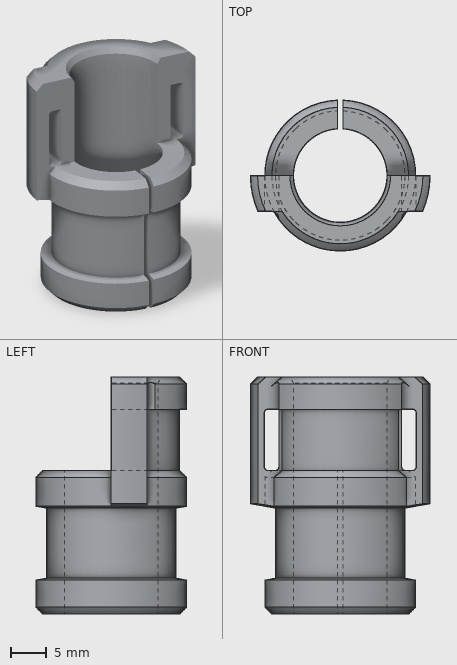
import cadquery as cq
import math

total_height = 33.0
bore_radius = 6.5
collar_radius = 10.5
lug_radius = 12.5
edge_chamfer = 1.0
bore_chamfer_width = 0.5
bore_chamfer_height = 0.87

groove_radius = 9.0
groove_bottom = 5.0
groove_top = 14.75
groove_wall_angle = 10.0

flange_top = 20.0
neck_radius = collar_radius - edge_chamfer
collar_bottom = 28.5

lug_depth = 5.0
window_inner_x = 8.55
window_outer_x = 10.55
window_corner_radius = 0.5
relief_radius = 1.0

slit_width = 0.75


def groove_wall_rise(radius):
    """Height gained by a sloped groove wall between the groove floor and a radius."""
    return (radius - groove_radius) * math.tan(math.radians(groove_wall_angle))


def revolve_profile(points):
    """Turn an (r, z) outline about the Z axis."""
    return cq.Workplane("XZ").polyline(points).close().revolve(360, (0, 0, 0), (0, 1, 0))


def box_between(x_range, y_range, z_range):
    """Box given by its lower and upper limit along each axis."""
    sizes = [high - low for low, high in (x_range, y_range, z_range)]
    corner = (x_range[0], y_range[0], z_range[0])
    return cq.Workplane("XY").box(*sizes, centered=False).translate(corner)


def make_base():
    """Bottom flange, groove and middle flange."""
    rim_rise = groove_wall_rise(collar_radius)
    return revolve_profile([
        (bore_radius, 0),
        (collar_radius - edge_chamfer, 0),
        (collar_radius, edge_chamfer),
        (collar_radius, groove_bottom - rim_rise),
        (groove_radius, groove_bottom),
        (groove_radius, groove_top),
        (collar_radius, groove_top + rim_rise),
        (collar_radius, flange_top - edge_chamfer),
        (collar_radius - edge_chamfer, flange_top),
        (bore_radius, flange_top),
    ])


def make_half_shell():
    """Front half of the upper neck and its top collar."""
    ring = revolve_profile([
        (bore_radius, groove_top),
        (groove_radius, groove_top),
        (neck_radius, flange_top),
        (neck_radius, collar_bottom),
        (collar_radius, collar_bottom),
        (collar_radius, total_height),
        (bore_radius, total_height),
    ])
    front_half = box_between(
        (-lug_radius, lug_radius), (-lug_radius, 0), (groove_top, total_height)
    )
    return ring.intersect(front_half)


def make_lugs():
    """Pair of side lugs, outlined as a ring and trimmed to a band in Y."""
    ring = revolve_profile([
        (bore_radius, groove_top),
        (groove_radius, groove_top),
        (lug_radius, groove_top + groove_wall_rise(lug_radius)),
        (lug_radius, total_height - edge_chamfer),
        (lug_radius - edge_chamfer, total_height),
        (bore_radius, total_height),
    ])
    band = box_between(
        (-lug_radius, lug_radius), (-lug_depth, 0), (groove_top, total_height)
    )
    return ring.intersect(band)


def make_collar_chamfer_cutter():
    """Ring that bevels the top collar in front of the lugs."""
    cone_reach = lug_radius - neck_radius
    ring = revolve_profile([
        (neck_radius, total_height),
        (lug_radius, total_height),
        (lug_radius, total_height - cone_reach),
    ])
    in_front_of_lugs = box_between(
        (-lug_radius, lug_radius), (-lug_radius, -lug_depth), (collar_bottom, total_height)
    )
    return ring.intersect(in_front_of_lugs)


def make_bore_chamfer_cutter():
    """Cone that bevels the top edge of the bore."""
    return revolve_profile([
        (0, total_height - bore_chamfer_height),
        (bore_radius, total_height - bore_chamfer_height),
        (bore_radius + bore_chamfer_width, total_height),
        (0, total_height),
    ])


def make_right_window():
    """Window through the +X lug, square only at its upper inner corner."""
    window = box_between(
        (window_inner_x, window_outer_x), (-lug_depth, 0), (flange_top, collar_bottom)
    )
    window = window.edges("|Y and >X").fillet(window_corner_radius)
    return window.edges("|Y and <X and <Z").fillet(window_corner_radius)


def make_right_corner_block():
    """Stock filling the corner between the +X lug and the top collar, shaped by the relief."""
    return box_between(
        (window_inner_x, window_inner_x + relief_radius),
        (-lug_depth - relief_radius, -lug_depth),
        (collar_bottom, total_height),
    )


def make_right_relief():
    """Rounded clearance in front of the +X lug beside the top collar."""
    block = box_between(
        (window_inner_x, lug_radius), (-lug_radius, -lug_depth), (collar_bottom, total_height)
    )
    return block.edges("|Z and <X and >Y").fillet(relief_radius)


def make_slit():
    """Narrow slit through the rear wall over the full height."""
    return box_between(
        (-slit_width / 2, slit_width / 2), (0, lug_radius), (0, total_height)
    )


result = make_base().union(make_half_shell()).union(make_lugs())
right_corner_block = make_right_corner_block()
result = result.union(right_corner_block).union(right_corner_block.mirror("YZ"))
result = result.cut(make_collar_chamfer_cutter()).cut(make_bore_chamfer_cutter())
for right_cutter in (make_right_window(), make_right_relief()):
    result = result.cut(right_cutter).cut(right_cutter.mirror("YZ"))
result = result.cut(make_slit())